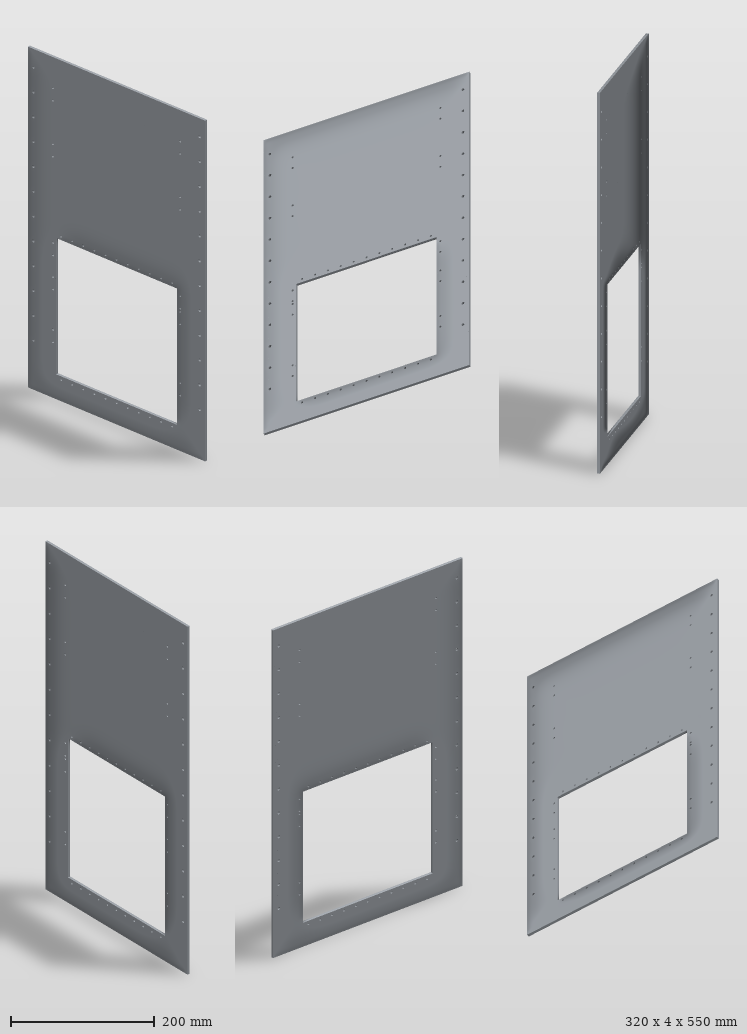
import cadquery as cq

panel_width = 320.0
panel_height = 550.0
panel_thickness = 4.0

window_width = 218.5
window_height = 220.0
window_bottom_margin = 40.0
window_center_z = -panel_height / 2 + window_bottom_margin + window_height / 2

edge_hole_diameter = 4.5
small_hole_diameter = 3.5

edge_column_x = 150.0
edge_hole_count = 12
edge_top_z = 245.5
edge_bottom_z = -195.0
edge_pitch = (edge_top_z - edge_bottom_z) / (edge_hole_count - 1)

row_hole_count = 11
row_pitch = edge_pitch / 2
row_spacing = 231.5

pair_column_x = 115.0
pair_gap = row_pitch
shared_pair_tops = (225.0, 135.0, -25.0, -165.0)
left_pair_top = -80.0
right_pair_top = -50.0


def edge_points():
    """Centres of the holes along both long edges."""
    points = []
    for x in (-edge_column_x, edge_column_x):
        for i in range(edge_hole_count):
            points.append((x, edge_bottom_z + i * edge_pitch))
    return points


def window_row_points():
    """Centres of the holes just above and just below the window."""
    row_distance = row_spacing / 2
    first_x = -row_pitch * (row_hole_count - 1) / 2
    points = []
    for z in (window_center_z - row_distance, window_center_z + row_distance):
        for i in range(row_hole_count):
            points.append((first_x + i * row_pitch, z))
    return points


def pair_points():
    """Centres of the vertical pairs; one pair on each side sits at its own height."""
    points = []
    for x, own_top in ((-pair_column_x, left_pair_top), (pair_column_x, right_pair_top)):
        for top in shared_pair_tops + (own_top,):
            points.append((x, top))
            points.append((x, top - pair_gap))
    return points


def through_holes(points, diameter):
    """Cylinders along Y that pass through the whole panel."""
    return (
        cq.Workplane("XZ")
        .pushPoints(points)
        .circle(diameter / 2)
        .extrude(panel_thickness, both=True)
    )


panel = cq.Workplane("XY").box(panel_width, panel_thickness, panel_height)
window = (
    cq.Workplane("XY")
    .box(window_width, 2 * panel_thickness, window_height)
    .translate((0, 0, window_center_z))
)

result = (
    panel.cut(window)
    .cut(through_holes(edge_points(), edge_hole_diameter))
    .cut(through_holes(window_row_points() + pair_points(), small_hole_diameter))
)